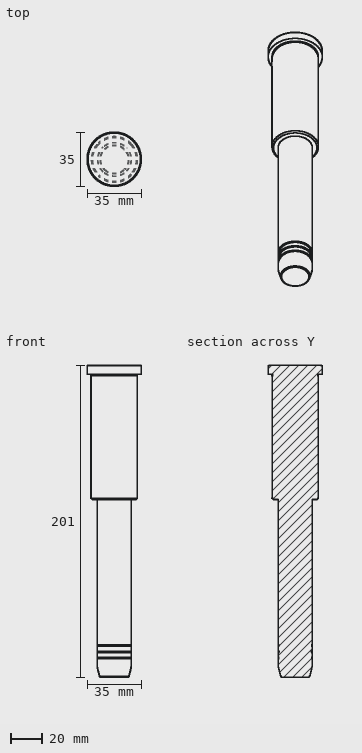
import cadquery as cq

total_length = 201.0
head_radius = 17.5
head_height = 6.0
head_chamfer = 0.6
body_radius = 14.97
body_end_depth = 86.6
body_chamfer = 1.0
pin_radius = 11.0

relief_depth = 0.5

groove_count = 3
groove_pitch = 4.0
groove_depth = 0.5
lowest_groove_height = 12.5

tip_height = 7.0
tip_radius = 9.5
tip_bulge = 0.1
tip_chamfer = 0.6

head_bottom = total_length - head_height
body_bottom = total_length - body_end_depth


def cylinder(radius, bottom, top):
    return cq.Workplane("XY").workplane(offset=bottom).circle(radius).extrude(top - bottom)


def v_groove(surface_radius, center_height, depth):
    """Ring of triangular section that leaves a 90 degree groove in a cylinder."""
    section = (
        cq.Workplane("XZ")
        .moveTo(surface_radius, center_height - depth)
        .lineTo(surface_radius - depth, center_height)
        .lineTo(surface_radius, center_height + depth)
        .close()
    )
    return section.revolve(360, (0, 0, 0), (0, 1, 0))


def tapered_tip():
    """Revolved tip with a slightly convex flank and a chamfered end."""
    middle_radius = (pin_radius + tip_radius) / 2 + tip_bulge
    middle_height = (tip_height + tip_chamfer) / 2
    profile = (
        cq.Workplane("XZ")
        .moveTo(0, 0)
        .lineTo(tip_radius - tip_chamfer, 0)
        .lineTo(tip_radius, tip_chamfer)
        .threePointArc((middle_radius, middle_height), (pin_radius, tip_height))
        .lineTo(0, tip_height)
        .close()
    )
    return profile.revolve(360, (0, 0, 0), (0, 1, 0))


head = cylinder(head_radius, head_bottom, total_length).faces(">Z").edges().chamfer(head_chamfer)
body = cylinder(body_radius, body_bottom, head_bottom).faces("<Z").edges().chamfer(body_chamfer)
body = body.cut(v_groove(body_radius, head_bottom - relief_depth, relief_depth))
pin = cylinder(pin_radius, tip_height, body_bottom)

for index in range(groove_count):
    groove_height = lowest_groove_height + index * groove_pitch
    pin = pin.cut(v_groove(pin_radius, groove_height, groove_depth))

result = head.union(body).union(pin).union(tapered_tip())